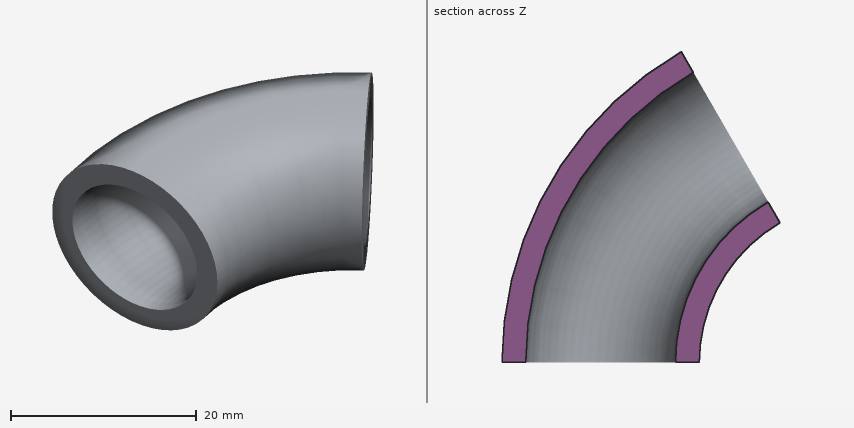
import cadquery as cq
import math

bend_angle = 60.0
length_y = 33.47
outer_diameter = 21.3
wall = 2.6

outer_radius = outer_diameter / 2
inner_radius = outer_radius - wall

outer_bend_radius = length_y / math.sin(math.radians(bend_angle))
bend_radius = outer_bend_radius - outer_radius

section = cq.Workplane("XZ").circle(outer_radius).circle(inner_radius)
result = section.revolve(bend_angle, (bend_radius, 0.35, 0), (bend_radius, 0, 0))